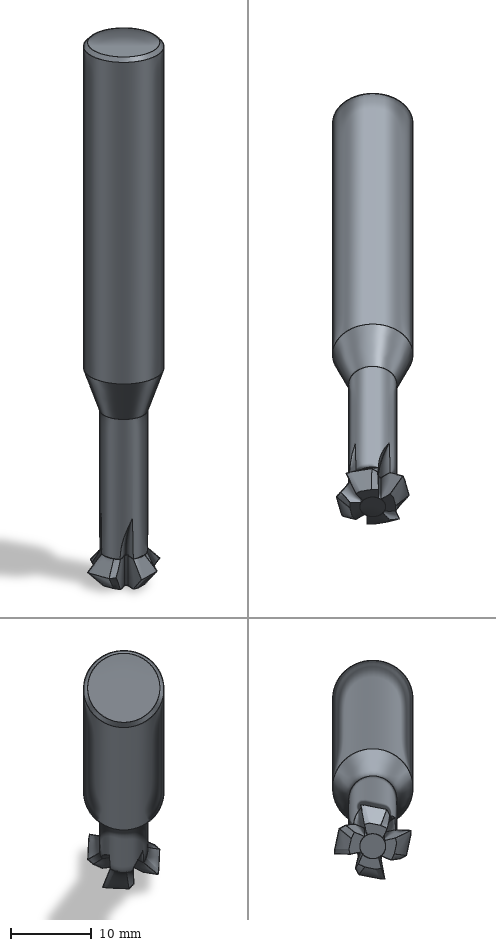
import cadquery as cq
import math

TOTAL_LENGTH = 73.0
SHANK_RADIUS = 5.0
SHANK_CHAMFER = 0.5
SHANK_BOTTOM = 28.8
NECK_RADIUS = 3.0
NECK_TOP = 23.15
CORE_RADIUS = 1.6

TOOTH_COUNT = 4
HEAD_HEIGHT = 4.1
TIP_HEIGHT = HEAD_HEIGHT / 2
TIP_RADIUS = SHANK_RADIUS

FLUTE_CORNER = (-0.3, -1.2)
FLUTE_FLOOR_MIDDLE = (-1.75, -2.5)
FLUTE_FLOOR_END = (-3.3, -3.5)
FLUTE_REACH = 5.85
CUTTER_RADIUS = 9.1
RUNOUT_ANGLE = 60.0

RAKE_OVERLAP = -8.0
WIDE_CORNERS = [(RAKE_OVERLAP, TIP_RADIUS), (0.0, TIP_RADIUS), (6.5, 4.8), (40.0, 4.5), (75.0, 3.5)]
NARROW_CORNERS = [(RAKE_OVERLAP, NECK_RADIUS), (0.0, NECK_RADIUS), (10.0, 3.0), (38.0, 2.85), (75.0, 3.35)]


def turned(shape, index):
    """Turn a workplane's solid to the place of tooth number `index`."""
    return shape.rotate((0, 0, 0), (0, 0, 1), index * 360.0 / TOOTH_COUNT)


def corner_point(angle, radius):
    """Point at `radius` from the axis, `angle` degrees from -Y toward +X."""
    turn = math.radians(angle)
    return (radius * math.sin(turn), -radius * math.cos(turn))


def flute_outline(height):
    """Cross-section of the flute: a straight rake side and a bowed floor."""
    rake_slope = FLUTE_CORNER[0] / (TIP_RADIUS + FLUTE_CORNER[1])
    rake_end = (rake_slope * (TIP_RADIUS - FLUTE_REACH), -FLUTE_REACH)
    return (
        cq.Workplane("XY", origin=(0, 0, height))
        .moveTo(*FLUTE_CORNER)
        .lineTo(*rake_end)
        .lineTo(FLUTE_FLOOR_END[0], -FLUTE_REACH)
        .lineTo(*FLUTE_FLOOR_END)
        .threePointArc(FLUTE_FLOOR_MIDDLE, FLUTE_CORNER)
        .close()
    )


def make_head_flute():
    """Flute through the height of the head, at full depth."""
    return flute_outline(0).extrude(HEAD_HEIGHT)


def make_flute_runout():
    """Flute in the neck, where the floor rises along the round of the disc cutter."""
    axis_y = FLUTE_CORNER[1] - CUTTER_RADIUS
    return flute_outline(HEAD_HEIGHT).revolve(RUNOUT_ANGLE, (0, axis_y, 0), (1, axis_y, 0))


def make_holder():
    """Shank, cone and fluted neck, with a thin core that carries the teeth."""
    holder = (
        cq.Workplane("XZ")
        .moveTo(0, 0)
        .lineTo(CORE_RADIUS, 0)
        .lineTo(CORE_RADIUS, HEAD_HEIGHT)
        .lineTo(NECK_RADIUS, HEAD_HEIGHT)
        .lineTo(NECK_RADIUS, NECK_TOP)
        .lineTo(SHANK_RADIUS, SHANK_BOTTOM)
        .lineTo(SHANK_RADIUS, TOTAL_LENGTH - SHANK_CHAMFER)
        .lineTo(SHANK_RADIUS - SHANK_CHAMFER, TOTAL_LENGTH)
        .lineTo(0, TOTAL_LENGTH)
        .close()
        .revolve(360, (0, 0, 0), (0, 1, 0))
    )
    runout = make_flute_runout()
    for index in range(TOOTH_COUNT):
        holder = holder.cut(turned(runout, index))
    return holder


def make_half_blank(start_height, end_height):
    """Half of the tooth wedge, from its neck-wide end to its widest level."""
    narrow = [corner_point(*corner) for corner in NARROW_CORNERS]
    wide = [corner_point(*corner) for corner in WIDE_CORNERS]
    return (
        cq.Workplane("XY", origin=(0, 0, start_height))
        .polyline([(0, 0)] + narrow)
        .close()
        .workplane(offset=end_height - start_height)
        .polyline([(0, 0)] + wide)
        .close()
        .loft(ruled=True)
    )


def make_tooth():
    """The tooth toward -Y: a double-angle wedge between two flutes, seated on the core."""
    tooth = make_half_blank(0, TIP_HEIGHT).union(make_half_blank(HEAD_HEIGHT, TIP_HEIGHT))
    flute = make_head_flute()
    core = cq.Workplane("XY").circle(CORE_RADIUS).extrude(HEAD_HEIGHT)
    return tooth.cut(flute).cut(turned(flute, 1)).cut(core)


holder = make_holder()
tooth = make_tooth()
teeth = [turned(tooth, index) for index in range(TOOTH_COUNT)]

result = cq.Compound.makeCompound([holder.val()] + [body.val() for body in teeth])